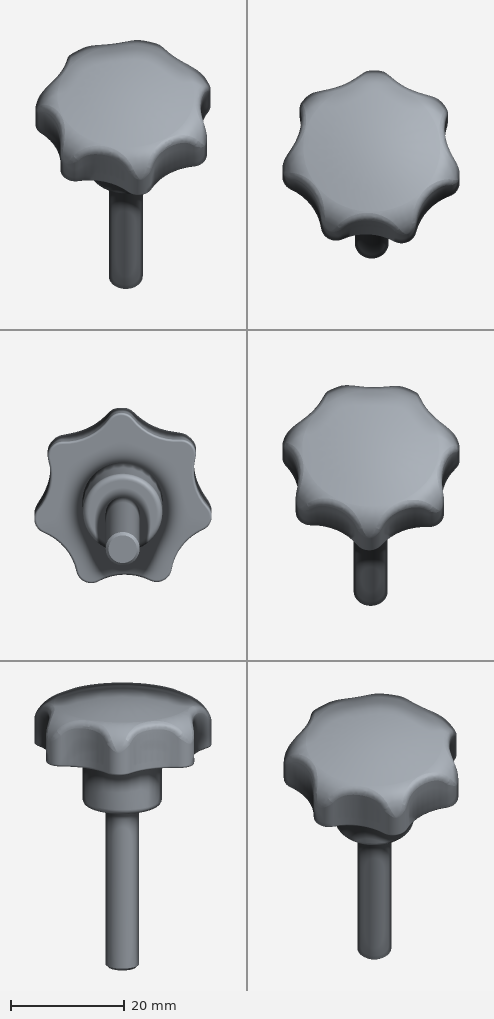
import cadquery as cq
import math

TOTAL_HEIGHT = 50.0
STEM_LENGTH = 30.0
STEM_RADIUS = 3.0
STEM_CHAMFER = 0.5

HUB_HEIGHT = 10.0
HUB_BOTTOM_RADIUS = 7.0
HUB_TOP_RADIUS = 7.1
HUB_EDGE_RADIUS = 1.0

LOBE_COUNT = 7
HEAD_RADIUS = 16.0
SHOULDER_RADIUS = 5.0
DISC_OVERHANG = 0.025
DOME_RADIUS = 12.1
DOME_RISE = 1.3
HEAD_BOTTOM_FILLET = 0.4
FLUTE_RADIUS = 9.75
FLUTE_CENTRE_RADIUS = 23.0
FLUTE_TOP_FILLET = 1.3
RIM_BAND_MARGIN = 0.15

HUB_BOTTOM_Z = STEM_LENGTH
HEAD_BOTTOM_Z = HUB_BOTTOM_Z + HUB_HEIGHT
DOME_EDGE_Z = TOTAL_HEIGHT - DOME_RISE
DISC_RADIUS = HEAD_RADIUS + DISC_OVERHANG
SHOULDER_CENTRE_X = DISC_RADIUS - SHOULDER_RADIUS
SHOULDER_RUN = DOME_RADIUS - SHOULDER_CENTRE_X
SHOULDER_BOTTOM_Z = DOME_EDGE_Z - math.sqrt(SHOULDER_RADIUS**2 - SHOULDER_RUN**2)

HALF_PITCH = math.pi / LOBE_COUNT
FLUTE_ALONG = FLUTE_CENTRE_RADIUS * math.cos(HALF_PITCH)
TIP_TO_FLUTE_SQUARED = HEAD_RADIUS**2 + FLUTE_CENTRE_RADIUS**2 - 2 * HEAD_RADIUS * FLUTE_ALONG
TIP_RADIUS = (TIP_TO_FLUTE_SQUARED - FLUTE_RADIUS**2) / (2 * (FLUTE_RADIUS + HEAD_RADIUS - FLUTE_ALONG))
TIP_CENTRE_RADIUS = HEAD_RADIUS - TIP_RADIUS


def polar(radius, angle):
    return (radius * math.cos(angle), radius * math.sin(angle))


def tip_to_flute_point(lobe_angle, side):
    """Point where a lobe's tip arc meets the flute on the given side (-1 or +1)."""
    tip = polar(TIP_CENTRE_RADIUS, lobe_angle)
    flute = polar(FLUTE_CENTRE_RADIUS, lobe_angle + side * HALF_PITCH)
    share = TIP_RADIUS / (TIP_RADIUS + FLUTE_RADIUS)
    return tuple(t + share * (f - t) for t, f in zip(tip, flute))


def make_lobed_prism():
    """Straight-sided block whose outline alternates tip arcs and flute arcs."""
    outline = cq.Workplane("XY", origin=(0, 0, HEAD_BOTTOM_Z))
    outline = outline.moveTo(*tip_to_flute_point(math.pi, -1))
    for lobe in range(LOBE_COUNT):
        angle = math.pi + 2 * HALF_PITCH * lobe
        flute_bottom = polar(FLUTE_CENTRE_RADIUS - FLUTE_RADIUS, angle + HALF_PITCH)
        next_start = tip_to_flute_point(angle + 2 * HALF_PITCH, -1)
        outline = outline.threePointArc(polar(HEAD_RADIUS, angle), tip_to_flute_point(angle, 1))
        outline = outline.threePointArc(flute_bottom, next_start)
    return outline.close().extrude(TOTAL_HEIGHT - HEAD_BOTTOM_Z)


def make_domed_disc():
    """Round disc with an arc shoulder and a shallow spherical top."""
    sphere_radius = (DOME_RADIUS**2 + DOME_RISE**2) / (2 * DOME_RISE)
    dome_half_angle = math.asin(DOME_RADIUS / sphere_radius) / 2
    dome_mid = (
        sphere_radius * math.sin(dome_half_angle),
        TOTAL_HEIGHT - sphere_radius * (1 - math.cos(dome_half_angle)),
    )
    shoulder_angle = math.acos(SHOULDER_RUN / SHOULDER_RADIUS) / 2
    shoulder_mid = (
        SHOULDER_CENTRE_X + SHOULDER_RADIUS * math.cos(shoulder_angle),
        SHOULDER_BOTTOM_Z + SHOULDER_RADIUS * math.sin(shoulder_angle),
    )
    return (
        cq.Workplane("XZ")
        .moveTo(0, HEAD_BOTTOM_Z)
        .lineTo(DISC_RADIUS, HEAD_BOTTOM_Z)
        .lineTo(DISC_RADIUS, SHOULDER_BOTTOM_Z)
        .threePointArc(shoulder_mid, (DOME_RADIUS, DOME_EDGE_Z))
        .threePointArc(dome_mid, (0, TOTAL_HEIGHT))
        .close()
        .revolve(360, (0, 0, 0), (0, 1, 0))
    )


def make_head():
    """Domed disc trimmed to the lobes, rounded along the wavy rim and around the underside."""
    head = make_lobed_prism().intersect(make_domed_disc())
    rim_band = cq.selectors.BoxSelector(
        (-HEAD_RADIUS, -HEAD_RADIUS, SHOULDER_BOTTOM_Z),
        (HEAD_RADIUS, HEAD_RADIUS, DOME_EDGE_Z - RIM_BAND_MARGIN),
    )
    head = head.edges("(not #Z) and (not |Z)").edges(rim_band).fillet(FLUTE_TOP_FILLET)
    return head.faces("<Z").edges().fillet(HEAD_BOTTOM_FILLET)


def make_hub():
    """Slightly tapered hub under the head, with a rounded lower edge."""
    return (
        cq.Workplane("XZ")
        .moveTo(0, HUB_BOTTOM_Z)
        .lineTo(HUB_BOTTOM_RADIUS, HUB_BOTTOM_Z)
        .lineTo(HUB_TOP_RADIUS, HEAD_BOTTOM_Z)
        .lineTo(0, HEAD_BOTTOM_Z)
        .close()
        .revolve(360, (0, 0, 0), (0, 1, 0))
        .faces("<Z")
        .edges()
        .fillet(HUB_EDGE_RADIUS)
    )


def make_knob():
    return make_head().union(make_hub())


def make_stem():
    """Plain round stem that ends against the underside of the hub."""
    stem = cq.Workplane("XY").circle(STEM_RADIUS).extrude(STEM_LENGTH)
    return stem.faces("<Z").edges().chamfer(STEM_CHAMFER)


knob = make_knob()
stem = make_stem()
result = cq.Compound.makeCompound([knob.val(), stem.val()])